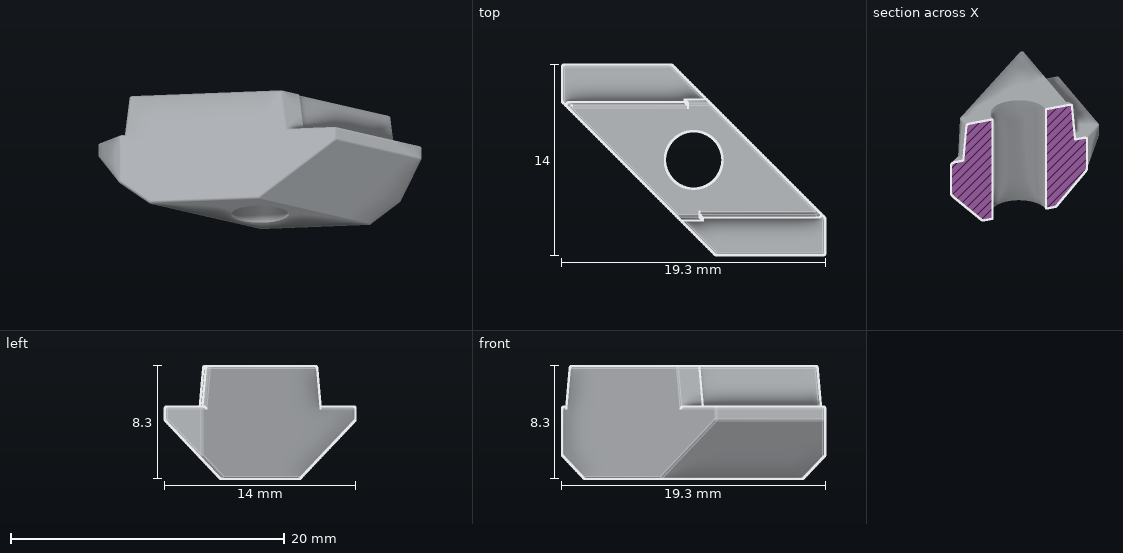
import cadquery as cq
import math

LENGTH = 19.3
WIDTH = 14.0
HEIGHT = 8.3
LEDGE_HEIGHT = 5.33
WING_SIDE_BOTTOM = 4.33
FOOT_WIDTH = 5.8
DIAGONAL_OFFSET = 5.385
HOLE_DIAMETER = 4.2
EDGE_RADIUS = 0.2

NARROW_HALF_WIDTH = 4.23
WIDE_HALF_WIDTH = 4.43
STEP_X = 0.67
DRAFT_ANGLE = 5.0

ROOT_HEIGHT = LEDGE_HEIGHT - 2 * EDGE_RADIUS


def diagonal_band():
    """Full-height slab between the two parallel diagonal flanks."""
    thickness = DIAGONAL_OFFSET * math.sqrt(2)
    span = 2 * (LENGTH + WIDTH)
    slab = cq.Workplane("XY").rect(thickness, span).extrude(HEIGHT)
    return slab.rotate((0, 0, 0), (0, 0, 1), 45)


def base():
    """Winged base: upright sides over sloping undersides, every edge rounded."""
    foot = FOOT_WIDTH / 2
    side = WIDTH / 2
    section = [
        (-foot, 0),
        (foot, 0),
        (side, WING_SIDE_BOTTOM),
        (side, LEDGE_HEIGHT),
        (-side, LEDGE_HEIGHT),
        (-side, WING_SIDE_BOTTOM),
    ]
    bar = cq.Workplane("YZ").polyline(section).close().extrude(LENGTH / 2, both=True)
    return bar.intersect(diagonal_band()).edges().fillet(EDGE_RADIUS)


def draft_inset(height):
    """How far a drafted face has moved inward at a height, relative to the ledge."""
    return (height - LEDGE_HEIGHT) * math.tan(math.radians(DRAFT_ANGLE))


def straight_tenon(half_width):
    """Tenon with plain drafted walls between the diagonal flanks, its outer edges rounded."""
    bottom_y = half_width - draft_inset(ROOT_HEIGHT)
    top_y = half_width - draft_inset(HEIGHT)
    section = [
        (-bottom_y, ROOT_HEIGHT),
        (bottom_y, ROOT_HEIGHT),
        (top_y, HEIGHT),
        (-top_y, HEIGHT),
    ]
    bar = cq.Workplane("YZ").polyline(section).close().extrude(LENGTH, both=True)
    trimmed = bar.intersect(diagonal_band())
    return trimmed.faces("|(1,1,0) or >Z").edges("not <Z").fillet(EDGE_RADIUS)


def obtuse_corner_zone():
    """Space from the drafted wall step on the +Y side out past the +X end."""
    section = [
        (-STEP_X + draft_inset(ROOT_HEIGHT), ROOT_HEIGHT),
        (LENGTH, ROOT_HEIGHT),
        (LENGTH, HEIGHT),
        (-STEP_X + draft_inset(HEIGHT), HEIGHT),
    ]
    return cq.Workplane("XZ").polyline(section).close().extrude(-WIDTH)


def tenon():
    """Narrow tenon widened by a shallow pad at each obtuse corner."""
    pad = straight_tenon(WIDE_HALF_WIDTH).intersect(obtuse_corner_zone())
    opposite_pad = pad.rotate((0, 0, 0), (0, 0, 1), 180)
    return straight_tenon(NARROW_HALF_WIDTH).union(pad).union(opposite_pad)


def hole():
    """Plain through hole in the middle."""
    return cq.Workplane("XY").circle(HOLE_DIAMETER / 2).extrude(HEIGHT)


result = base().union(tenon()).cut(hole())